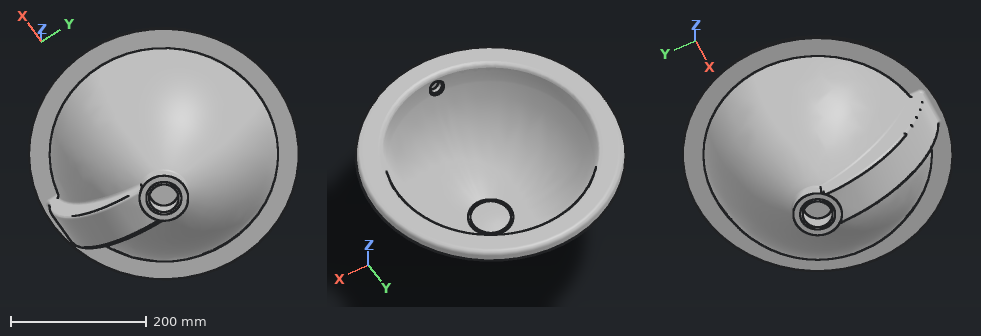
import cadquery as cq
import math

rim_radius = 200.0
total_height = 190.0
rim_height = 15.0
rim_bottom = total_height - rim_height
rim_draft = 15.0
rim_edge_round = 9.0
mouth_edge_round = 8.0

wall = 12.0
bowl_top_radius = 169.0
bowl_middle_radius = 126.5
bowl_middle_height = 87.0
bowl_foot_radius = 44.5
bowl_foot_height = 20.5

neck_radius = 36.0

channel_width = 60.0
channel_reach = 186.0
channel_round = 5.0
channel_middle_y = -133.0
channel_middle_z = 46.5
channel_foot_y = -24.0

overflow_diameter = 20.0
overflow_flare = 1.5
overflow_height = 169.0
overflow_tilt = 14.0
overflow_depth = 12.0

joint_blend = 5.0
margin = 0.5

flange_diameter = 67.0
flange_height = 6.0
flange_round = 1.0
stopper_diameter = 60.0
stopper_thickness = 3.0
stopper_dome = 3.0
tail_diameter = 52.0
drain_bore = 44.0


def circle_through(first, second, third):
    """Centre and radius of the circle through three points."""
    (ax, ay), (bx, by), (cx, cy) = first, second, third
    denominator = 2 * (ax * (by - cy) + bx * (cy - ay) + cx * (ay - by))
    a2 = ax**2 + ay**2
    b2 = bx**2 + by**2
    c2 = cx**2 + cy**2
    x = (a2 * (by - cy) + b2 * (cy - ay) + c2 * (ay - by)) / denominator
    y = (a2 * (cx - bx) + b2 * (ax - cx) + c2 * (bx - ax)) / denominator
    return x, y, math.hypot(ax - x, ay - y)


arc_r, arc_z, arc_radius = circle_through(
    (bowl_top_radius, rim_bottom),
    (bowl_middle_radius, bowl_middle_height),
    (bowl_foot_radius, bowl_foot_height),
)


def height_on_arc(radius_from_axis, offset=0.0):
    """Height of the wall arc, moved inward by offset, at a distance from the bowl axis."""
    return arc_z - math.sqrt((arc_radius - offset) ** 2 - (radius_from_axis - arc_r) ** 2)


def radius_on_arc(height, offset=0.0):
    """Distance from the bowl axis to the wall arc, moved inward by offset, at a height."""
    return arc_r + math.sqrt((arc_radius - offset) ** 2 - (height - arc_z) ** 2)


def bowl_solid(top_radius, top_height, foot_radius, floor_height, offset):
    """Solid of revolution under a wall arc moved inward by offset."""
    middle_radius = (top_radius + foot_radius) / 2
    return (
        cq.Workplane("XZ")
        .moveTo(0, floor_height)
        .lineTo(foot_radius, floor_height)
        .lineTo(foot_radius, height_on_arc(foot_radius, offset))
        .threePointArc(
            (middle_radius, height_on_arc(middle_radius, offset)),
            (top_radius, top_height),
        )
        .lineTo(0, top_height)
        .close()
        .revolve(360, (0, 0), (0, 1))
    )


neck_joint_height = height_on_arc(neck_radius)
flange_radius = flange_diameter / 2
flange_top = height_on_arc(flange_radius, wall)
flange_bottom = flange_top - flange_height
stopper_bottom = flange_top - stopper_thickness
mouth_radius = radius_on_arc(total_height, wall)


def make_rim():
    return (
        cq.Workplane("XY", origin=(0, 0, rim_bottom))
        .circle(rim_radius)
        .extrude(rim_height, taper=rim_draft)
        .faces(">Z")
        .edges()
        .fillet(rim_edge_round)
    )


def make_channel():
    return (
        cq.Workplane("YZ", origin=(-channel_width / 2, 0, 0))
        .moveTo(0, 0)
        .lineTo(channel_foot_y, 0)
        .threePointArc((channel_middle_y, channel_middle_z), (-channel_reach, rim_bottom))
        .lineTo(0, rim_bottom)
        .close()
        .extrude(channel_width)
        .faces("<X or >X")
        .edges("%CIRCLE")
        .fillet(channel_round)
    )


def make_cavity():
    """Inside of the bowl, open through the rim."""
    return bowl_solid(mouth_radius, total_height, flange_radius, flange_bottom, wall)


def make_overflow():
    """Round hole square to the wall, with a tapered mouth."""
    tilt = math.radians(overflow_tilt)
    outward = cq.Vector(0, -math.cos(tilt), -math.sin(tilt))
    mouth = cq.Vector(0, -radius_on_arc(overflow_height, wall), overflow_height)
    radius = overflow_diameter / 2
    hole = cq.Solid.makeCylinder(radius, 2 * overflow_depth, mouth - outward * overflow_depth, outward)
    flare = cq.Solid.makeCone(
        radius + 2 * overflow_flare, radius, 2 * overflow_flare, mouth - outward * overflow_flare, outward
    )
    return cq.Workplane(hole.fuse(flare))


def edges_within(body, low_corner, high_corner, kind):
    """Edges of one curve type that lie wholly inside a box."""
    box = cq.selectors.BoxSelector(low_corner, high_corner, boundingbox=True)
    return body.edges(kind).edges(box).vals()


def blend_outer_joints(body):
    """Round the joints of bowl, neck, channel and rim."""
    half_width = channel_width / 2 + margin
    reach = channel_reach + margin
    low = rim_bottom - margin
    high = rim_bottom + margin
    neck_low = neck_joint_height - 4
    neck_high = neck_joint_height + 4
    neck_box = neck_radius + margin
    rim_joint = ((-half_width, -reach, low), (half_width, 0, high))
    wall_joint = ((-half_width, -bowl_top_radius, neck_low), (half_width, 0, high))
    neck_joint = ((-neck_box, -neck_box, neck_low), (neck_box, neck_box, neck_high))
    joints = edges_within(body, *rim_joint, "%LINE or %CIRCLE")
    joints += edges_within(body, *wall_joint, "%BSPLINE")
    joints += edges_within(body, *neck_joint, "%CIRCLE")
    return body.newObject(joints).fillet(joint_blend)


def make_basin():
    bowl = bowl_solid(bowl_top_radius, rim_bottom, neck_radius, 0, 0)
    body = blend_outer_joints(bowl.union(make_channel()).union(make_rim()))
    body = body.cut(make_cavity())
    body = body.faces(">Z").edges(cq.selectors.RadiusNthSelector(0)).fillet(mouth_edge_round)
    tail_hole = cq.Workplane("XY").circle(tail_diameter / 2).extrude(flange_bottom)
    return body.cut(tail_hole).cut(make_overflow())


def make_drain():
    """Flange with a seat for the stopper, on a tail pipe through the neck."""
    tail = cq.Workplane("XY").circle(tail_diameter / 2).extrude(flange_bottom)
    flange = (
        cq.Workplane("XY", origin=(0, 0, flange_bottom))
        .circle(flange_radius)
        .extrude(flange_height)
        .faces(">Z")
        .edges()
        .fillet(flange_round)
    )
    bore = cq.Workplane("XY").circle(drain_bore / 2).extrude(flange_top)
    seat = (
        cq.Workplane("XY", origin=(0, 0, stopper_bottom))
        .circle(stopper_diameter / 2)
        .extrude(stopper_thickness)
    )
    return flange.union(tail).cut(bore).cut(seat)


def make_stopper():
    """Round plate with a domed top."""
    radius = stopper_diameter / 2
    dome_radius = (radius**2 + stopper_dome**2) / (2 * stopper_dome)
    half_way = radius / 2
    dome_drop = dome_radius - math.sqrt(dome_radius**2 - half_way**2)
    apex = flange_top + stopper_dome
    return (
        cq.Workplane("XZ")
        .moveTo(0, stopper_bottom)
        .lineTo(radius, stopper_bottom)
        .lineTo(radius, flange_top)
        .threePointArc((half_way, apex - dome_drop), (0, apex))
        .close()
        .revolve(360, (0, 0), (0, 1))
    )


basin = make_basin()
drain = make_drain()
stopper = make_stopper()

result = cq.Compound.makeCompound([basin.val(), drain.val(), stopper.val()])